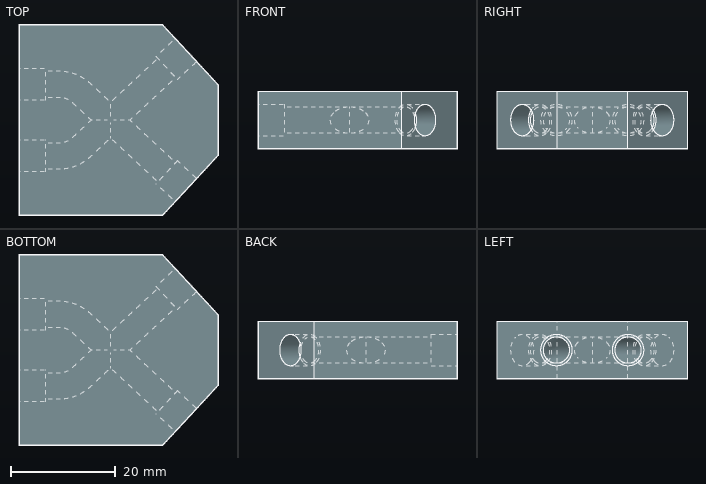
import cadquery as cq
import math

length = 38.0
width = 36.4
height = 11.0
corner_length = 10.65
nose_width = 13.45
corner_width = (width - nose_width) / 2

passage_diameter = 5.0
counterbore_diameter = 6.0
counterbore_depth = 5.0
inlet_offset = 6.85
outlet_x = 31.85
bend_radius = 6.0

corner_edge = math.hypot(corner_length, corner_width)
leg_x = corner_width / corner_edge
leg_y = -corner_length / corner_edge
bend_angle = math.atan2(corner_length, corner_width)

outlet_run = outlet_x - (length - corner_length)
outlet_y = outlet_run * corner_width / corner_length - width / 2
leg_length = (outlet_y - inlet_offset) / leg_y
elbow_x = outlet_x - leg_length * leg_x
bend_start_x = elbow_x - bend_radius * math.tan(bend_angle / 2)


def make_block():
    profile = [
        (0, -width / 2),
        (length - corner_length, -width / 2),
        (length, -nose_width / 2),
        (length, nose_width / 2),
        (length - corner_length, width / 2),
        (0, width / 2),
    ]
    return cq.Workplane("XY").workplane(offset=-height / 2).polyline(profile).close().extrude(height)


def bend_point(angle):
    """Point on the bend centreline after turning through angle."""
    return (
        bend_start_x + bend_radius * math.sin(angle),
        inlet_offset - bend_radius * (1 - math.cos(angle)),
    )


def make_counterbore(x, y, direction):
    face = cq.Plane(origin=(x, y, 0), xDir=(0, 0, 1), normal=direction)
    return cq.Workplane(face).circle(counterbore_diameter / 2).extrude(counterbore_depth)


def make_passage():
    """Passage from the +Y inlet to the -Y angled face."""
    centreline = (
        cq.Workplane("XY")
        .moveTo(0, inlet_offset)
        .lineTo(bend_start_x, inlet_offset)
        .threePointArc(bend_point(bend_angle / 2), bend_point(bend_angle))
        .lineTo(outlet_x, outlet_y)
    )
    bore = (
        cq.Workplane("YZ", origin=(0, inlet_offset, 0))
        .circle(passage_diameter / 2)
        .sweep(centreline)
    )
    inlet = make_counterbore(0, inlet_offset, (1, 0, 0))
    outlet = make_counterbore(outlet_x, outlet_y, (-leg_x, -leg_y, 0))
    return bore.union(inlet).union(outlet)


passage = make_passage()
result = make_block().cut(passage).cut(passage.mirror("XZ"))